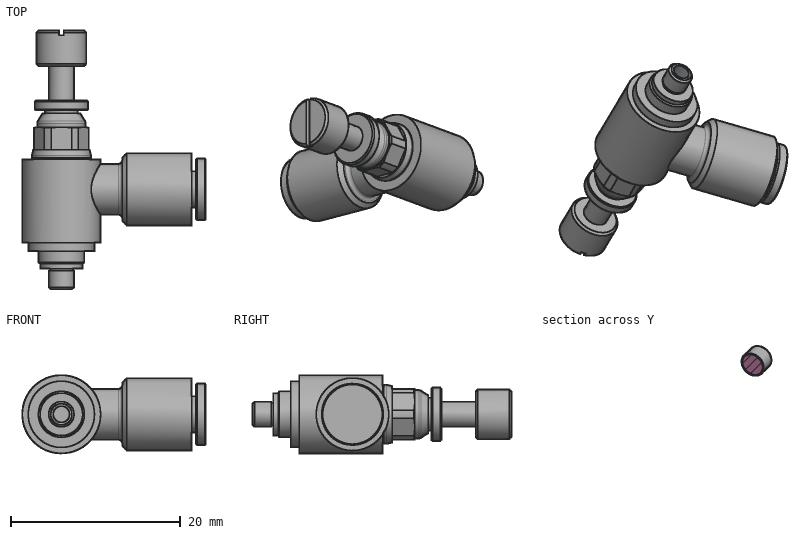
import cadquery as cq
import math


STUD_DIA = 3.0
STUD_CHAMFER = 0.25
STUD_BORE_DIA = 1.92
STUD_TOP = 2.2
STUD_BORE_DEPTH = STUD_TOP
UNDERCUT_DIA = 2.75
UNDERCUT_TOP = 2.45
COLLAR_DIA = 5.0
COLLAR_TOP = 3.02
THREAD_DIA = 5.43
THREAD_CHAMFER_TOP = 3.17
THREAD_TOP = 4.48
FLANGE_DIA = 7.8
FLANGE_TOP = 5.5

OVERALL_WIDTH = 21.62
BODY_DIA = 9.25
BODY_TOP = 15.3

NECK_DIA = 6.65
NECK_TOP = 15.45
BEAD_DIA = 6.98
BEAD_STRAIGHT_TOP = 15.75
BEAD_TOP_DIA = 6.65
BEAD_TOP = 16.43
HEX_ACROSS_FLATS = 6.0
HEX_CORNER_DIA = 6.45
HEX_CHAMFER_START = 19.0
HEX_TOP = 19.1
DOME_DIA = 5.73
DOME_CONE_START = 19.7
DOME_TIP_DIA = 4.45
DOME_TOP = 20.7
DOME_BLEND_RADIUS = 0.52

WASHER_NECK_DIA = 3.9
WASHER_BOTTOM = 21.07
WASHER_TOP = 22.25
WASHER_DIA = 6.3
WASHER_TOP_CHAMFER = 0.18
WASHER_BOTTOM_CHAMFER = 0.12
SPINDLE_DIA = 3.0
KNOB_BOTTOM = 26.25
KNOB_TOP = 30.5
KNOB_DIA = 5.88
KNOB_CHAMFER = 0.27
SLOT_WIDTH = 0.55
SLOT_DEPTH = 0.58

BRANCH_HEIGHT = 11.77
STEM_DIA = 6.0
STEM_END = 6.7
STEM_FILLET = 0.45
CUP_DIA = 8.55
CUP_CHAMFER = 0.55
CUP_END = 15.35
RELEASE_NECK_DIA = 4.3
RING_START = 15.8
RING_END = OVERALL_WIDTH - BODY_DIA / 2
RING_DIA = 7.25
RING_INNER_CHAMFER = 0.18
RING_OUTER_CHAMFER = 0.12


def rod(diameter, start, end):
    """Cylinder around the Y axis between two stations."""
    return cq.Workplane("XZ", origin=(0, start, 0)).circle(diameter / 2).extrude(start - end)


def turned(outline):
    """Solid turned around the Y axis from (radius, station) points."""
    return cq.Workplane("XY").polyline(outline).close().revolve(360, (0, 0, 0), (0, 1, 0))


def taper(start_diameter, end_diameter, start, end):
    """Truncated cone around the Y axis between two stations."""
    outline = [(0, start), (start_diameter / 2, start), (end_diameter / 2, end), (0, end)]
    return turned(outline)


def threaded_end():
    stud = rod(STUD_DIA, 0, STUD_TOP).faces("<Y").chamfer(STUD_CHAMFER)
    stud = stud.cut(rod(STUD_BORE_DIA, 0, STUD_BORE_DEPTH))
    return (
        stud.union(rod(UNDERCUT_DIA, STUD_TOP, UNDERCUT_TOP))
        .union(rod(COLLAR_DIA, UNDERCUT_TOP, COLLAR_TOP))
        .union(taper(COLLAR_DIA, THREAD_DIA, COLLAR_TOP, THREAD_CHAMFER_TOP))
        .union(rod(THREAD_DIA, THREAD_CHAMFER_TOP, THREAD_TOP))
        .union(rod(FLANGE_DIA, THREAD_TOP, FLANGE_TOP))
    )


def hexagon():
    """Hexagon with two flats facing +Z and -Z and its corners and top edge turned round."""
    corner_to_corner = HEX_ACROSS_FLATS / math.cos(math.pi / 6)
    prism = (
        cq.Workplane("XZ", origin=(0, BEAD_TOP, 0))
        .polygon(6, corner_to_corner)
        .extrude(BEAD_TOP - HEX_TOP)
    )
    envelope = rod(HEX_CORNER_DIA, BEAD_TOP, HEX_CHAMFER_START).union(
        taper(HEX_CORNER_DIA, HEX_ACROSS_FLATS, HEX_CHAMFER_START, HEX_TOP)
    )
    return prism.intersect(envelope)


def dome():
    """Short cylinder running into a cone, with the edge between them rounded."""
    outline = [
        (0, HEX_TOP),
        (DOME_DIA / 2, HEX_TOP),
        (DOME_DIA / 2, DOME_CONE_START),
        (DOME_TIP_DIA / 2, DOME_TOP),
        (0, DOME_TOP),
    ]
    blank = turned(outline)
    shoulder = cq.selectors.NearestToPointSelector((0, DOME_CONE_START, 0))
    return blank.edges(shoulder).fillet(DOME_BLEND_RADIUS)


def bonnet():
    return (
        rod(NECK_DIA, BODY_TOP, NECK_TOP)
        .union(rod(BEAD_DIA, NECK_TOP, BEAD_STRAIGHT_TOP))
        .union(taper(BEAD_DIA, BEAD_TOP_DIA, BEAD_STRAIGHT_TOP, BEAD_TOP))
        .union(hexagon())
        .union(dome())
    )


def washer():
    disc = rod(WASHER_DIA, WASHER_BOTTOM, WASHER_TOP)
    disc = disc.faces(">Y").chamfer(WASHER_TOP_CHAMFER)
    disc = disc.faces("<Y").chamfer(WASHER_BOTTOM_CHAMFER)
    return disc.union(rod(WASHER_NECK_DIA, DOME_TOP, WASHER_BOTTOM))


def knob():
    """Round knob with a screwdriver slot running along Z across its end."""
    head = rod(KNOB_DIA, KNOB_BOTTOM, KNOB_TOP).faces("<Y or >Y").chamfer(KNOB_CHAMFER)
    slot = cq.Workplane("XY").box(SLOT_WIDTH, 2 * SLOT_DEPTH, KNOB_DIA).translate((0, KNOB_TOP, 0))
    return head.cut(slot).union(rod(SPINDLE_DIA, WASHER_TOP, KNOB_BOTTOM))


def branch():
    """Stem, cup and release ring, turned around an axis along X."""
    stem_radius = STEM_DIA / 2
    cup_start = STEM_END + STEM_FILLET
    ring_radius = RING_DIA / 2
    neck_radius = RELEASE_NECK_DIA / 2
    profile = (
        cq.Workplane("XY")
        .moveTo(0, 0)
        .lineTo(0, stem_radius)
        .lineTo(STEM_END, stem_radius)
        .radiusArc((cup_start, stem_radius + STEM_FILLET), -STEM_FILLET)
        .lineTo(cup_start, CUP_DIA / 2 - CUP_CHAMFER)
        .lineTo(cup_start + CUP_CHAMFER, CUP_DIA / 2)
        .lineTo(CUP_END, CUP_DIA / 2)
        .lineTo(CUP_END, neck_radius)
        .lineTo(RING_START, neck_radius)
        .lineTo(RING_START, ring_radius - RING_INNER_CHAMFER)
        .lineTo(RING_START + RING_INNER_CHAMFER, ring_radius)
        .lineTo(RING_END - RING_OUTER_CHAMFER, ring_radius)
        .lineTo(RING_END, ring_radius - RING_OUTER_CHAMFER)
        .lineTo(RING_END, 0)
        .close()
    )
    solid = profile.revolve(360, (0, 0, 0), (1, 0, 0))
    return solid.translate((0, BRANCH_HEIGHT, 0))


result = (
    rod(BODY_DIA, FLANGE_TOP, BODY_TOP)
    .union(branch())
    .union(threaded_end())
    .union(bonnet())
    .union(washer())
    .union(knob())
)